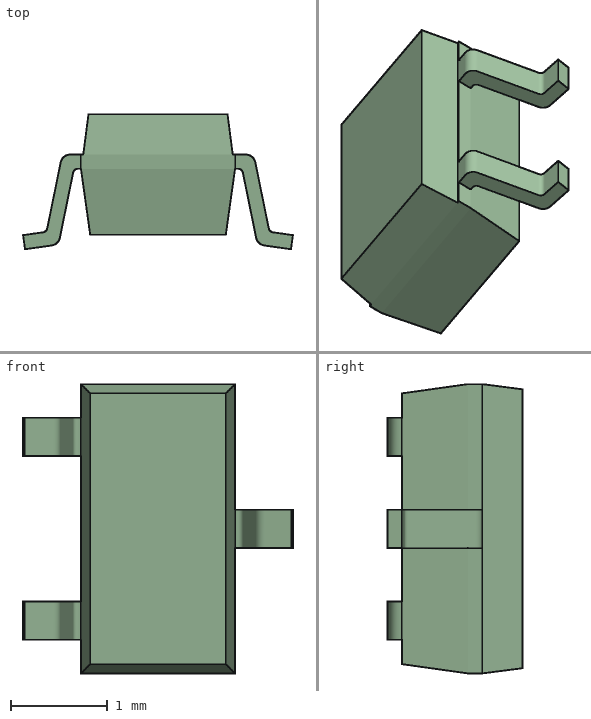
import cadquery as cq
import math

body_height = 3.0
body_width = 1.6
total_depth = 1.4
standoff = 0.15
band_start = 0.835
lower_inset = 0.095
upper_inset = 0.055
upper_step = 0.025

lead_span = 2.8
lead_thickness = 0.15
lead_width = 0.4
lead_offset = 0.95
shoulder_x = 0.993
leg_lean = 11.5
foot_slope = 8.0
inside_radius = 0.05
outside_radius = 0.105

band_end = band_start + lead_thickness


def tapered_block(width, base_y, tip_y, inset):
    """Block narrowing by the same inset on all sides from base_y to tip_y."""
    return (
        cq.Workplane("XZ", origin=(0, base_y, 0))
        .rect(width, body_height)
        .workplane(offset=base_y - tip_y)
        .rect(width - 2 * inset, body_height - 2 * inset)
        .loft(ruled=True)
    )


def make_body():
    band = cq.Workplane("XY").box(body_width, lead_thickness, body_height)
    band = band.translate((0, band_start + lead_thickness / 2, 0))
    lower = tapered_block(body_width, band_start, standoff, lower_inset)
    upper = tapered_block(body_width - 2 * upper_step, band_end, total_depth, upper_inset)
    return band.union(lower).union(upper)


def make_lead():
    """Lead on the +X side, centred on Z = 0, with four rounded bends."""
    lean = math.radians(leg_lean)
    slope = math.radians(foot_slope)
    root_x = body_width / 2

    toe_top = (lead_span / 2, lead_thickness * math.cos(slope))
    toe_bottom = (toe_top[0] - lead_thickness * math.sin(slope), 0)

    leg_x_at_toe = shoulder_x + (band_end - toe_top[1]) * math.tan(lean)
    foot_run = toe_top[0] - leg_x_at_toe
    heel_rise = foot_run * math.tan(slope) / (1 - math.tan(lean) * math.tan(slope))
    heel_x = leg_x_at_toe - heel_rise * math.tan(lean)
    heel = (heel_x, toe_top[1] + heel_rise)

    shoulder_mitre = lead_thickness * math.tan((math.pi / 2 - lean) / 2)
    heel_mitre = lead_thickness * math.tan((math.pi / 2 - lean - slope) / 2)
    armpit = (shoulder_x - shoulder_mitre, band_start)
    sole = (
        heel[0] - lead_thickness * math.sin(slope) - heel_mitre * math.cos(slope),
        heel[1] - lead_thickness * math.cos(slope) + heel_mitre * math.sin(slope),
    )

    shoulder = (shoulder_x, band_end)
    outline = [(root_x, band_end), shoulder, heel, toe_top, toe_bottom, sole, armpit, (root_x, band_start)]
    lead = cq.Workplane("XY").polyline(outline).close().extrude(lead_width / 2, both=True)

    bends = [
        (shoulder, outside_radius),
        (heel, inside_radius),
        (sole, outside_radius),
        (armpit, inside_radius),
    ]
    for corner, radius in bends:
        edge = lead.edges("|Z").edges(cq.selectors.NearestToPointSelector((*corner, 0)))
        lead = lead.newObject(edge.vals()).fillet(radius)
    return lead


right_lead = make_lead()
left_lead = right_lead.mirror("YZ")
result = make_body().union(right_lead)
for z in (-lead_offset, lead_offset):
    result = result.union(left_lead.translate((0, 0, z)))